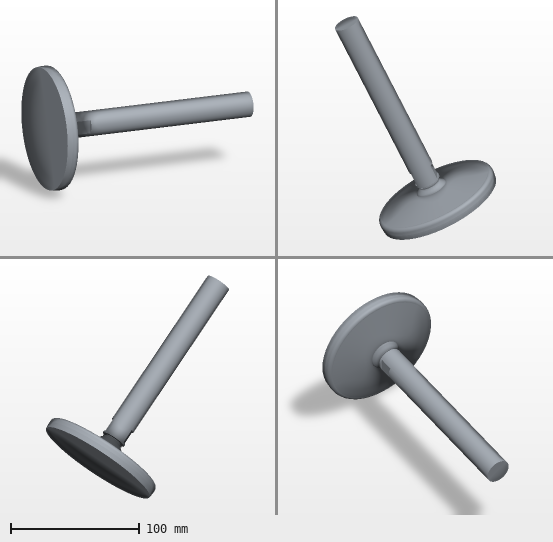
import cadquery as cq

TOTAL_LENGTH = 172.0

FOOT_DIAMETER = 98.0
BOTTOM_DIAMETER = 97.0
SIDE_TAPER_HEIGHT = 4.1
RIM_TOP_HEIGHT = 6.9
SHOULDER_HEIGHT = 9.8
SHOULDER_RADIUS = 46.0
HUB_BASE_RADIUS = 12.5
HUB_BASE_HEIGHT = 15.8
HUB_EDGE_RADIUS = 11.9
HUB_EDGE_HEIGHT = 16.7
COLLAR_BOTTOM_RADIUS = 8.3
COLLAR_TOP_RADIUS = 8.6
COLLAR_BOTTOM_HEIGHT = 19.8
COLLAR_TOP_HEIGHT = 20.8

STEM_DIAMETER = 20.0
STEM_BOTTOM_HEIGHT = 22.4
NECK_TOP_RADIUS = 6.7
NECK_FLARE_HEIGHT = 21.8
NECK_BOTTOM_RADIUS = 8.0
FLATS_WIDTH = 16.9
FLATS_BOTTOM_HEIGHT = 23.9
FLATS_TOP_HEIGHT = 35.5


def revolve_about_y(profile):
    return profile.close().revolve(360, (0, 0, 0), (0, 1, 0))


def make_foot():
    """Disc with a tapered side, a rounded shoulder and a conical hub."""
    rim_radius = FOOT_DIAMETER / 2
    profile = (
        cq.Workplane("XY")
        .lineTo(BOTTOM_DIAMETER / 2, 0)
        .lineTo(rim_radius, SIDE_TAPER_HEIGHT)
        .lineTo(rim_radius, RIM_TOP_HEIGHT)
        .tangentArcPoint((SHOULDER_RADIUS, SHOULDER_HEIGHT), relative=False)
        .lineTo(HUB_BASE_RADIUS, HUB_BASE_HEIGHT)
        .lineTo(HUB_EDGE_RADIUS, HUB_EDGE_HEIGHT)
        .lineTo(COLLAR_BOTTOM_RADIUS, COLLAR_BOTTOM_HEIGHT)
        .lineTo(COLLAR_TOP_RADIUS, COLLAR_TOP_HEIGHT)
        .lineTo(0, COLLAR_TOP_HEIGHT)
    )
    return revolve_about_y(profile)


def make_wrench_flats():
    """Two blocks that leave the wrench flats, facing -X and +X."""
    height = FLATS_TOP_HEIGHT - FLATS_BOTTOM_HEIGHT
    middle = (FLATS_TOP_HEIGHT + FLATS_BOTTOM_HEIGHT) / 2
    offset = (FLATS_WIDTH + STEM_DIAMETER) / 2
    return (
        cq.Workplane("XY")
        .pushPoints([(-offset, middle), (offset, middle)])
        .box(STEM_DIAMETER, height, STEM_DIAMETER)
    )


def make_stem():
    """Plain rod with wrench flats and a flared neck that rests on the collar."""
    stem_radius = STEM_DIAMETER / 2
    profile = (
        cq.Workplane("XY")
        .moveTo(0, COLLAR_TOP_HEIGHT)
        .lineTo(NECK_BOTTOM_RADIUS, COLLAR_TOP_HEIGHT)
        .lineTo(NECK_TOP_RADIUS, NECK_FLARE_HEIGHT)
        .lineTo(NECK_TOP_RADIUS, STEM_BOTTOM_HEIGHT)
        .lineTo(stem_radius, STEM_BOTTOM_HEIGHT)
        .lineTo(stem_radius, TOTAL_LENGTH)
        .lineTo(0, TOTAL_LENGTH)
    )
    return revolve_about_y(profile).cut(make_wrench_flats())


foot = make_foot()
stem = make_stem()

result = cq.Compound.makeCompound([foot.val(), stem.val()])